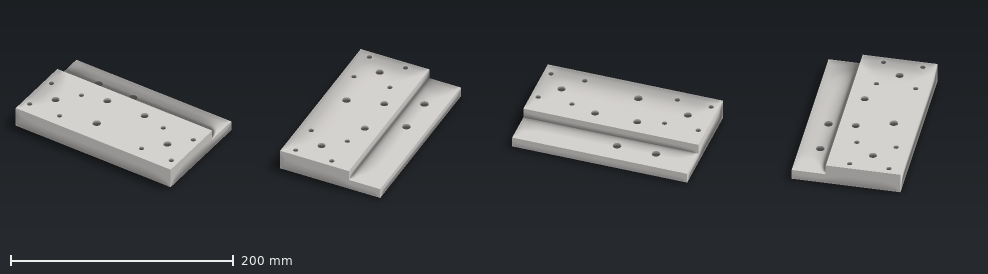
import cadquery as cq

length = 166.0
width = 100.0
height = 20.0
front_edge = -width / 2

ledge_height = height / 2
block_depth = 68.5

small_diameter = 5.0
medium_diameter = 7.5
large_diameter = 8.0

group_offset = 60.0
group_distance = 30.0
group_pitch_x = 32.0
group_pitch_y = 36.0

pair_pitch = 40.0
pair_distance = 54.0

large_x = -10.0
large_side_x = -47.0
large_front_distance = 21.0
large_rear_distance = 81.0


def through_holes(centers, diameter):
    """Vertical cylinders running through the full plate height."""
    return cq.Workplane("XY").pushPoints(centers).circle(diameter / 2).extrude(height)


base = cq.Workplane("XY").box(length, width, ledge_height, centered=(True, True, False))
block = (
    cq.Workplane("XY")
    .box(length, block_depth, height, centered=(True, False, False))
    .translate((0, front_edge, 0))
)
body = base.union(block)

group_y = front_edge + group_distance
group_centers = [(side * group_offset, group_y) for side in (-1, 1)]
small_centers = [
    (x + step_x * group_pitch_x / 2, y + step_y * group_pitch_y / 2)
    for x, y in group_centers
    for step_x in (-1, 1)
    for step_y in (-1, 1)
]
pair_y = front_edge + pair_distance
pair_centers = [(side * pair_pitch / 2, pair_y) for side in (-1, 1)]
large_rear_y = front_edge + large_rear_distance
large_centers = [
    (large_x, front_edge + large_front_distance),
    (large_x, large_rear_y),
    (large_side_x, large_rear_y),
]

result = (
    body.cut(through_holes(small_centers, small_diameter))
    .cut(through_holes(group_centers + pair_centers, medium_diameter))
    .cut(through_holes(large_centers, large_diameter))
)